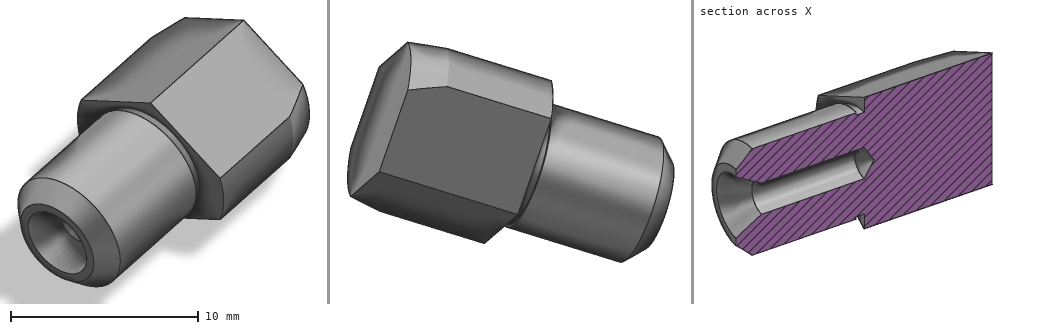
import cadquery as cq
import math

total_length = 16.0
body_length = 8.0
body_radius = 10.0 / 2
body_height = 8.6
flat_angle = 30.0

end_taper_length = 2.0
end_radius = 4.5

groove_width = 0.5
groove_radius = 3.35
nose_radius = 3.5
nose_chamfer = 1.0

seat_mouth_radius = 2.0
bore_radius = 1.0
seat_depth = 1.6
bore_depth = 8.0
drill_tip_angle = 118.0

nose_end = -total_length / 2
body_start = total_length / 2 - body_length
body_end = body_start + body_length


def revolve_about_y(points):
    """Revolve a closed (radius, y) outline around the Y axis."""
    return cq.Workplane("XY").polyline(points).close().revolve(360, (0, 0, 0), (0, 1, 0))


def make_body():
    """Round body with a tapered end, cut by four flats that meet at ridges on +Z and -Z."""
    taper_start = body_end - end_taper_length
    round_body = revolve_about_y([
        (0, body_start),
        (body_radius, body_start),
        (body_radius, taper_start),
        (end_radius, body_end),
        (0, body_end),
    ])
    ridge = body_height / 2
    corner = ridge / math.tan(math.radians(flat_angle))
    flats = (
        cq.Workplane("XZ", origin=(0, body_end, 0))
        .polyline([(corner, 0), (0, ridge), (-corner, 0), (0, -ridge)])
        .close()
        .extrude(body_length)
    )
    return round_body.intersect(flats)


def make_nose():
    """Cylindrical nose with a chamfered tip and a relief groove next to the body."""
    groove_start = body_start - groove_width
    return revolve_about_y([
        (0, nose_end),
        (nose_radius - nose_chamfer, nose_end),
        (nose_radius, nose_end + nose_chamfer),
        (nose_radius, groove_start),
        (groove_radius, groove_start),
        (groove_radius, body_start),
        (0, body_start),
    ])


def make_bore():
    """Conical seat leading into a blind drilled hole with a pointed bottom."""
    bore_bottom = nose_end + bore_depth
    tip_length = bore_radius / math.tan(math.radians(drill_tip_angle / 2))
    return revolve_about_y([
        (0, nose_end),
        (seat_mouth_radius, nose_end),
        (bore_radius, nose_end + seat_depth),
        (bore_radius, bore_bottom),
        (0, bore_bottom + tip_length),
    ])


result = make_body().union(make_nose()).cut(make_bore())